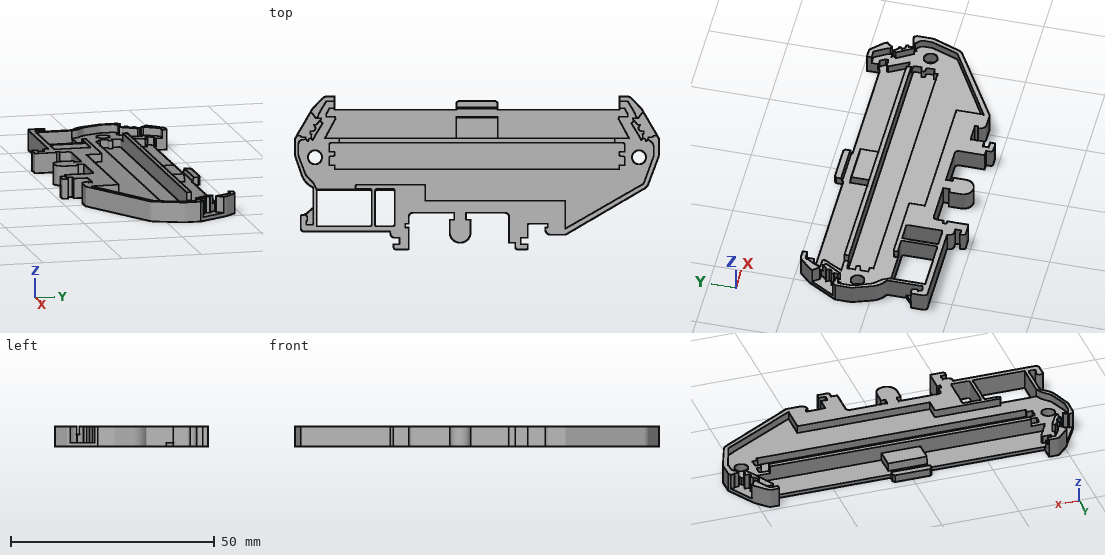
import cadquery as cq
import math

BASE_TOP = 1.0
FLOOR_TOP = 3.0
RIM_TOP = 5.0

HALF_LENGTH = 44.8
HEIGHT = 37.7

HOOK_X = 35.0
HOOK_LIP = 1.2
HOOK_CORNER_X = 37.5
HOOK_CORNER_RADIUS = 1.5
HOOK_INNER_CORNER = (37.05, HEIGHT - HOOK_LIP)
HOOK_INNER_RADIUS = 0.4
HOOK_END = (40.45, 34.7)
BAY_TOP = (40.95, 33.9)
SHOULDER = (44.4, 27.95)
SHOULDER_FOOT_Y = 27.2
SIDE_BEND_Y = 23.1
SIDE_BEND_RADIUS = 2.0

PLATE_EDGE_Y = 34.4
SLOT_Y = 27.4
NOTCH_TOP_Y = 34.7
NOTCH_BOTTOM_Y = 32.7
NOTCH_X = 37.05
NOTCH_CHAMFER = 0.25
GROOVE_TOP_Y = 26.25
GROOVE_BOTTOM_Y = 19.8
GROOVE_HALF = 36.35
GROOVE_SHORT_HALF = 34.95
GROOVE_STEP_Y = 20.8
KEY_Y = (23.0, 24.1)
KEY_RADIUS = 0.5
RIB_HALF = 33.9

LATCH_HALF = 5.05
LATCH_TOP_Y = 36.6
BAR_Y = 34.95
PAD_Y = 32.4
PAD_TOP = 3.0
BAR_TOP = 2.0
LATCH_DRAFT = 0.3
LATCH_CHAMFER = 0.5

HOLE_X = 39.85
HOLE_Y = 22.7
HOLE_DIAMETER = 3.4

ARM_OUTER_X = -40.3
ARM_INNER_X = -39.4
ARM_TOP_Y = 15.2
ARM_ROOT_RADIUS = 0.35
FINGER_X = -43.4
FINGER_TIP_Y = 8.55
FINGER_TIP_X = -41.75
FINGER_LIP_Y = (6.9, 7.1)
FINGER_INNER_X = -42.05
FINGER_FLOOR_Y = 6.05
FINGER_HEEL_RADIUS = 0.9
FINGER_TIP_RADII = (0.5, 0.7)
FINGER_FLOOR_RADIUS = 0.4
BEAM_TOP_Y = 5.75
BEAM_BOTTOM_Y = 4.4
WINDOW_TOP_Y = 14.65
WINDOW_DRAFT = 0.25
WINDOW_RADIUS = 0.4
LEFT_WINDOW_END_X = -25.9
RIGHT_WINDOW_X = (-25.05, -20.25)

RAIL_Y = 9.0
RAIL_LEFT_X = -16.75
RAIL_RIGHT_X = 7.85
FOOT_RIGHT_X = 12.5
CATCH_Y = (1.35, 2.85)
SIDE_NOTCH_Y = (5.45, 6.3)
CATCH_FLOOR_X = (-19.1, 10.8)
LEFT_TOE_X = -20.55
LEFT_ANKLE_X = -21.35
ANKLE_RADIUS = 1.2
RIGHT_TOE_X = 9.4
TOE_STEP_Y = 1.65
LEFT_NOTCH_X = -17.6
HEEL_FRONT_X = 16.75
HEEL_NOTCH_X = 17.35
HEEL_RADIUS = 1.45
SMALL_RADIUS = 0.3
FOOT_RADIUS = 0.6
RAIL_RADIUS = 0.9
HEEL_X = 21.75
HEEL_Y = 3.6
HEEL_END_RADIUS = 0.5
RIGHT_CORNER = (41.9, 15.4)
LEFT_CORNER = (-42.49, 16.5)
RIGHT_CORNER_RADIUS = 2.5
LEFT_CORNER_RADIUS = 5.1

KNOB_X = -4.15
KNOB_RADIUS = 2.6
KNOB_CENTER_Y = 4.25
KNOB_SHOULDER_Y = 7.35
NECK_HALF = 1.48

BORDER_Y = 12.0
BORDER_STEP_X = -12.7
BORDER_RIGHT_X = 21.65
BORDER_UPPER_Y = 15.95
BORDER_NOSE_X = -29.9
NOSE_RADIUS = 0.45


def mirrored(points):
    """The same points on the other side of X = 0, in reverse order."""
    return [(-p[0],) + tuple(p[1:]) for p in reversed(points)]


def toward(start, end, distance):
    """The point at a distance from start on the way to end."""
    share = distance / math.dist(start, end)
    return tuple(s + (e - s) * share for s, e in zip(start, end))


def outline(points, height):
    """A closed outline of (x, y) corners at a height; a third value rounds its corner."""
    corners = [p[:2] for p in points]
    wire = None
    for index, point in enumerate(points):
        corner = corners[index]
        radius = point[2] if len(point) > 2 else 0
        before = corners[index - 1]
        after = corners[(index + 1) % len(corners)]
        if radius:
            to_before = math.atan2(before[1] - corner[1], before[0] - corner[0])
            to_after = math.atan2(after[1] - corner[1], after[0] - corner[0])
            half_angle = abs(math.remainder(to_after - to_before, math.tau)) / 2
            setback = radius / math.tan(half_angle)
            bisector = radius / math.sin(half_angle)
            entry = toward(corner, before, setback)
            leave = toward(corner, after, setback)
            middle = [(a + b) / 2 for a, b in zip(entry, leave)]
            apex = toward(corner, middle, bisector - radius)
        else:
            entry = corner
        if wire is None:
            wire = cq.Workplane("XY").workplane(offset=height).moveTo(*entry)
        else:
            wire = wire.lineTo(*entry)
        if radius:
            wire = wire.threePointArc(apex, leave)
    return wire.close()


def prism(points, bottom, top):
    return outline(points, bottom).extrude(top - bottom)


def box(x_range, y_range, bottom, top):
    (x0, x1), (y0, y1) = x_range, y_range
    return prism([(x0, y0), (x1, y0), (x1, y1), (x0, y1)], bottom, top)


RIGHT_END = [
    (HOOK_X, PLATE_EDGE_Y),
    (HOOK_X, HEIGHT),
    (HOOK_CORNER_X, HEIGHT, HOOK_CORNER_RADIUS),
    HOOK_END,
    SHOULDER,
    (HALF_LENGTH, SHOULDER_FOOT_Y),
    (HALF_LENGTH, SIDE_BEND_Y, SIDE_BEND_RADIUS),
]


def outer_body():
    """The full outline at full height, before the floors are sunk."""
    right_foot = [
        RIGHT_CORNER + (RIGHT_CORNER_RADIUS,),
        (HEEL_X, HEEL_Y, HEEL_END_RADIUS),
        (HEEL_FRONT_X, HEEL_Y, HEEL_RADIUS),
        (HEEL_FRONT_X, SIDE_NOTCH_Y[0]),
        (HEEL_NOTCH_X, SIDE_NOTCH_Y[0]),
        (HEEL_NOTCH_X, SIDE_NOTCH_Y[1]),
        (FOOT_RIGHT_X, SIDE_NOTCH_Y[1], SMALL_RADIUS),
        (FOOT_RIGHT_X, CATCH_Y[1]),
        (CATCH_FLOOR_X[1], CATCH_Y[1]),
        (CATCH_FLOOR_X[1], CATCH_Y[0]),
        (FOOT_RIGHT_X, CATCH_Y[0]),
        (FOOT_RIGHT_X, 0, SMALL_RADIUS),
        (RIGHT_TOE_X, 0, FOOT_RADIUS),
        (RIGHT_TOE_X, TOE_STEP_Y),
        (RAIL_RIGHT_X, TOE_STEP_Y),
        (RAIL_RIGHT_X, RAIL_Y, RAIL_RADIUS),
    ]
    left_foot = [
        (RAIL_LEFT_X, RAIL_Y, RAIL_RADIUS),
        (RAIL_LEFT_X, SIDE_NOTCH_Y[1]),
        (LEFT_NOTCH_X, SIDE_NOTCH_Y[1]),
        (LEFT_NOTCH_X, SIDE_NOTCH_Y[0]),
        (RAIL_LEFT_X, SIDE_NOTCH_Y[0]),
        (RAIL_LEFT_X, 0, SMALL_RADIUS),
        (LEFT_TOE_X, 0, FOOT_RADIUS),
        (LEFT_TOE_X, CATCH_Y[0]),
        (CATCH_FLOOR_X[0], CATCH_Y[0]),
        (CATCH_FLOOR_X[0], CATCH_Y[1]),
        (LEFT_ANKLE_X, CATCH_Y[1], ANKLE_RADIUS),
        (LEFT_ANKLE_X, BEAM_BOTTOM_Y),
    ]
    finger = [
        (FINGER_X, BEAM_BOTTOM_Y, FINGER_HEEL_RADIUS),
        (FINGER_X, FINGER_TIP_Y, FINGER_TIP_RADII[0]),
        (FINGER_TIP_X, FINGER_TIP_Y, FINGER_TIP_RADII[1]),
        (FINGER_TIP_X, FINGER_LIP_Y[1]),
        (FINGER_INNER_X, FINGER_LIP_Y[0]),
        (FINGER_INNER_X, FINGER_FLOOR_Y, FINGER_FLOOR_RADIUS),
        (ARM_OUTER_X, FINGER_FLOOR_Y, FINGER_FLOOR_RADIUS),
        (ARM_OUTER_X, ARM_TOP_Y, ARM_ROOT_RADIUS),
        LEFT_CORNER + (LEFT_CORNER_RADIUS,),
    ]
    corners = RIGHT_END + right_foot + left_foot + finger + mirrored(RIGHT_END)
    return prism(corners, 0, RIM_TOP)


def knob():
    """Round-ended knob on a narrow neck, hanging below the rail edge."""
    left, right = KNOB_X - KNOB_RADIUS, KNOB_X + KNOB_RADIUS
    neck = box((KNOB_X - NECK_HALF, KNOB_X + NECK_HALF), (KNOB_CENTER_Y, RAIL_Y), 0, RIM_TOP)
    head = (
        cq.Workplane("XY")
        .moveTo(left, KNOB_SHOULDER_Y)
        .lineTo(left, KNOB_CENTER_Y)
        .threePointArc((KNOB_X, KNOB_CENTER_Y - KNOB_RADIUS), (right, KNOB_CENTER_Y))
        .lineTo(right, KNOB_SHOULDER_Y)
        .close()
        .extrude(RIM_TOP)
    )
    return neck.union(head)


def finger_web():
    """Thin web that ties the curled finger to the spring arm at the underside."""
    overlap_x = (FINGER_X + FINGER_TIP_X) / 2
    corners = [
        (overlap_x, BEAM_TOP_Y),
        (ARM_OUTER_X, BEAM_TOP_Y),
        (ARM_OUTER_X, 10.3),
        (-41.9, 8.9),
        (overlap_x, FINGER_TIP_Y),
    ]
    return prism(corners, 0, BASE_TOP)


def floor_pocket():
    """Main pocket inside the rim, down to the floor."""
    right_side = [
        (HOOK_X, HEIGHT),
        (HOOK_X, HEIGHT - HOOK_LIP),
        HOOK_INNER_CORNER + (HOOK_INNER_RADIUS,),
        (38.8, 33.6),
        (39.1, 32.75),
        (39.5, 32.3),
        (42.1, 27.4),
        (42.1, 27.1),
    ]
    window_rim_y = WINDOW_TOP_Y + WINDOW_DRAFT
    right_wall = [
        (43.5, 26.0, 2.0),
        (43.5, SIDE_BEND_Y, 1.5),
        (41.0, 16.2, 0.6),
        (BORDER_RIGHT_X, 5.1),
    ]
    border = [
        (BORDER_RIGHT_X, BORDER_Y),
        (BORDER_STEP_X, BORDER_Y),
        (BORDER_STEP_X, BORDER_UPPER_Y, WINDOW_RADIUS),
        (BORDER_NOSE_X, BORDER_UPPER_Y, NOSE_RADIUS),
        (BORDER_NOSE_X, window_rim_y, NOSE_RADIUS),
        (BORDER_NOSE_X + 2 * NOSE_RADIUS, window_rim_y),
        (BORDER_NOSE_X + 2 * NOSE_RADIUS, WINDOW_TOP_Y),
    ]
    left_wall = [
        (ARM_INNER_X, WINDOW_TOP_Y),
        (-40.2, 16.3, 1.0),
        (-42.1, 18.3, 1.5),
        (-43.95, SIDE_BEND_Y, 2.0),
        (-43.95, 27.0, 1.2),
    ]
    corners = right_side + right_wall + border + left_wall + mirrored(right_side)
    return prism(corners, FLOOR_TOP, RIM_TOP)


def card_slot():
    """Slot open at the upper edge, with a side notch under each hook."""
    right_side = [
        (HOOK_X, HEIGHT),
        (HOOK_X, NOTCH_TOP_Y + NOTCH_CHAMFER),
        (HOOK_X + NOTCH_CHAMFER, NOTCH_TOP_Y),
        (36.3, NOTCH_TOP_Y),
        (NOTCH_X, 33.4),
        (NOTCH_X, NOTCH_BOTTOM_Y),
        (HOOK_X, NOTCH_BOTTOM_Y),
        (34.8, 32.2),
        (37.4, SLOT_Y),
    ]
    return prism(right_side + mirrored(right_side), BASE_TOP, RIM_TOP)


def groove():
    """Long groove with a rounded key projecting into each end."""
    right_side = [
        (GROOVE_HALF, GROOVE_TOP_Y, KEY_RADIUS),
        (GROOVE_HALF, KEY_Y[1]),
        (GROOVE_SHORT_HALF, KEY_Y[1], KEY_RADIUS),
        (GROOVE_SHORT_HALF, KEY_Y[0], KEY_RADIUS),
        (GROOVE_HALF, KEY_Y[0], KEY_RADIUS),
        (GROOVE_HALF, GROOVE_STEP_Y),
        (GROOVE_SHORT_HALF, GROOVE_STEP_Y),
        (GROOVE_SHORT_HALF, GROOVE_BOTTOM_Y),
    ]
    return prism(right_side + mirrored(right_side), BASE_TOP, RIM_TOP)


TEETH = [
    (-38.6, 31.75),
    (-39.5, 30.75),
    (-40.15, 30.65),
    (-39.65, 29.85),
    (-40.0, 29.2),
    (-41.05, 29.1),
    (-41.05, 28.5),
    (-40.7, 28.4),
    (-40.8, 27.45),
]


def left_bay():
    """Gap in the left rim outside the teeth, down to the base plate."""
    outside_x = -HALF_LENGTH - 1
    upper_end = [
        (outside_x, BAY_TOP[1]),
        (-BAY_TOP[0], BAY_TOP[1]),
        (-40.35, 33.3),
        (-39.65, 32.3),
        (-38.3, 32.25),
    ]
    lower_end = [
        (-41.3, 27.2),
        (-41.6, 26.6),
        (-42.1, 27.2),
        (-42.1, 27.6),
        (-43.2, 27.7),
        (-43.5, SHOULDER[1]),
        (outside_x, SHOULDER[1]),
    ]
    return prism(upper_end + TEETH + lower_end, BASE_TOP, RIM_TOP)


def left_grip():
    """Strip standing on the floor behind the teeth."""
    inner_edge = [(-40.45, 26.95), (-38.0, 31.05)]
    return prism(TEETH + inner_edge, FLOOR_TOP, RIM_TOP)


def latch():
    """Pad and bar on the base plate; the sides facing the gap lean back toward the top."""
    profile_pad = [
        (SLOT_Y, BASE_TOP),
        (PAD_Y + LATCH_DRAFT, BASE_TOP),
        (PAD_Y, PAD_TOP),
        (SLOT_Y, PAD_TOP),
    ]
    pad = cq.Workplane("YZ").polyline(profile_pad).close().extrude(LATCH_HALF, both=True)
    profile_bar = [
        (PLATE_EDGE_Y, 0),
        (LATCH_TOP_Y, 0),
        (LATCH_TOP_Y, BAR_TOP),
        (BAR_Y, BAR_TOP),
        (BAR_Y - LATCH_DRAFT, BASE_TOP),
        (PLATE_EDGE_Y, BASE_TOP),
    ]
    bar = cq.Workplane("YZ").polyline(profile_bar).close().extrude(LATCH_HALF, both=True)
    bar = bar.edges("|Z and >Y").chamfer(LATCH_CHAMFER)
    return pad.union(bar)


def window(x0, x1, left_radius):
    """Opening whose upper wall leans outward by the draft toward the rim."""

    def section(height, top_y):
        corners = [
            (x0, BEAM_TOP_Y, left_radius),
            (x1, BEAM_TOP_Y, WINDOW_RADIUS),
            (x1, top_y, WINDOW_RADIUS),
            (x0, top_y, left_radius),
        ]
        return outline(corners, height).val()

    sections = [section(0, WINDOW_TOP_Y), section(RIM_TOP, WINDOW_TOP_Y + WINDOW_DRAFT)]
    return cq.Workplane(cq.Solid.makeLoft(sections, True))


def mounting_holes():
    centers = [(-HOLE_X, HOLE_Y), (HOLE_X, HOLE_Y)]
    return cq.Workplane("XY").pushPoints(centers).circle(HOLE_DIAMETER / 2).extrude(RIM_TOP)


body = outer_body().union(knob()).union(finger_web())
body = body.cut(floor_pocket()).cut(card_slot()).cut(groove())
body = body.cut(left_bay()).cut(left_bay().mirror("YZ"))
body = body.union(left_grip()).union(left_grip().mirror("YZ"))
body = body.union(box((-RIB_HALF, RIB_HALF), (GROOVE_TOP_Y, SLOT_Y), BASE_TOP, RIM_TOP))
body = body.union(latch())
body = body.cut(window(ARM_INNER_X, LEFT_WINDOW_END_X, 0))
body = body.cut(window(*RIGHT_WINDOW_X, WINDOW_RADIUS))
result = body.cut(mounting_holes())